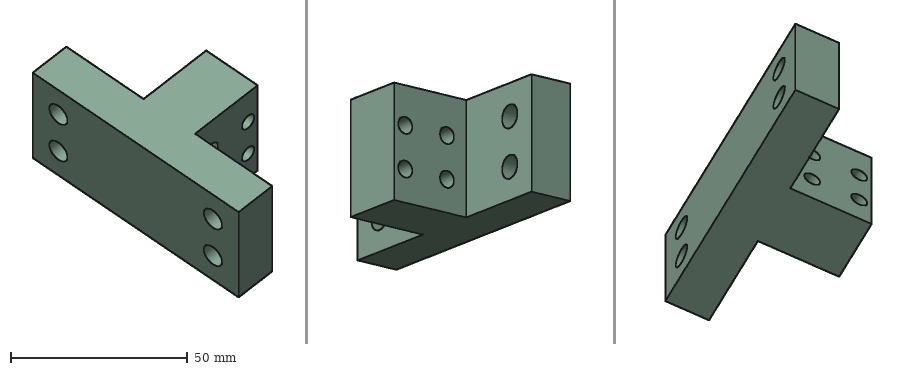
import cadquery as cq

length = 80.0
depth = 40.0
height = 35.0

plate_thickness = 14.0
stem_width = 20.0

plate_hole_diameter = 7.0
plate_hole_edge = 10.0

stem_hole_diameter = 5.0
stem_hole_back_edge = 4.0
stem_hole_pitch_y = 15.0
stem_hole_bottom_edge = 10.0
stem_hole_top_edge = 12.0


def block(width, block_depth):
    """Full-height block centred on X, starting at the front face."""
    return cq.Workplane("XY").box(width, block_depth, height, centered=(True, False, False))


body = block(length, plate_thickness).union(block(stem_width, depth))

plate_hole_x = length / 2 - plate_hole_edge
plate_hole_points = [
    (x, z)
    for x in (-plate_hole_x, plate_hole_x)
    for z in (plate_hole_edge, height - plate_hole_edge)
]
plate_holes = (
    cq.Workplane("XZ")
    .pushPoints(plate_hole_points)
    .circle(plate_hole_diameter / 2)
    .extrude(-plate_thickness)
)

rear_hole_y = depth - stem_hole_back_edge
stem_hole_points = [
    (y, z)
    for y in (rear_hole_y - stem_hole_pitch_y, rear_hole_y)
    for z in (stem_hole_bottom_edge, height - stem_hole_top_edge)
]
stem_holes = (
    cq.Workplane("YZ")
    .pushPoints(stem_hole_points)
    .circle(stem_hole_diameter / 2)
    .extrude(stem_width / 2, both=True)
)

result = body.cut(plate_holes).cut(stem_holes)